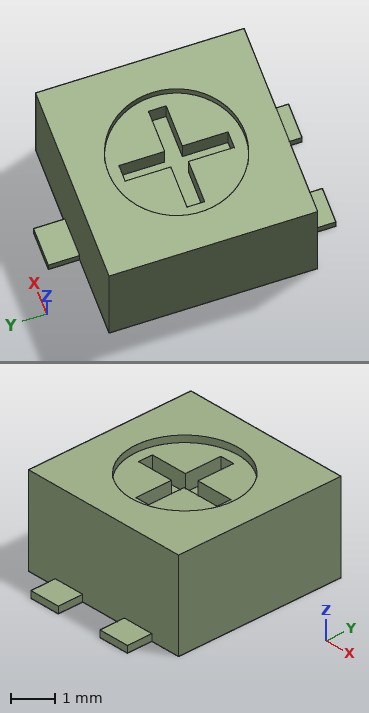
import cadquery as cq

body_side = 5.0
body_height = 2.7

overall_length = 6.5
terminal_reach = (overall_length - body_side) / 2
terminal_thickness = 0.21
front_terminal_width = 0.915
front_terminal_spacing = 2.3
rear_terminal_width = 1.0

recess_diameter = 3.26
recess_depth = 0.2
slot_length = 2.61
slot_width = 0.42
slot_depth = 0.5


def terminal(width, x_center, side):
    """Terminal outside the body; side is -1 for front (-Y), +1 for rear (+Y)."""
    y_center = side * (body_side + terminal_reach) / 2
    return (
        cq.Workplane("XY")
        .center(x_center, y_center)
        .rect(width, terminal_reach)
        .extrude(terminal_thickness)
    )


def adjuster_cut():
    """Round recess and cross slot, cut down from the top face."""
    recess = (
        cq.Workplane("XY")
        .workplane(offset=body_height)
        .circle(recess_diameter / 2)
        .extrude(-recess_depth)
    )
    floor = cq.Workplane("XY").workplane(offset=body_height - recess_depth)
    slot_along_x = floor.rect(slot_length, slot_width).extrude(-slot_depth)
    slot_along_y = floor.rect(slot_width, slot_length).extrude(-slot_depth)
    return recess.union(slot_along_x).union(slot_along_y)


result = cq.Workplane("XY").rect(body_side, body_side).extrude(body_height)
result = result.cut(adjuster_cut())
for x_side in (-1, 1):
    result = result.union(terminal(front_terminal_width, x_side * front_terminal_spacing / 2, -1))
result = result.union(terminal(rear_terminal_width, 0, 1))